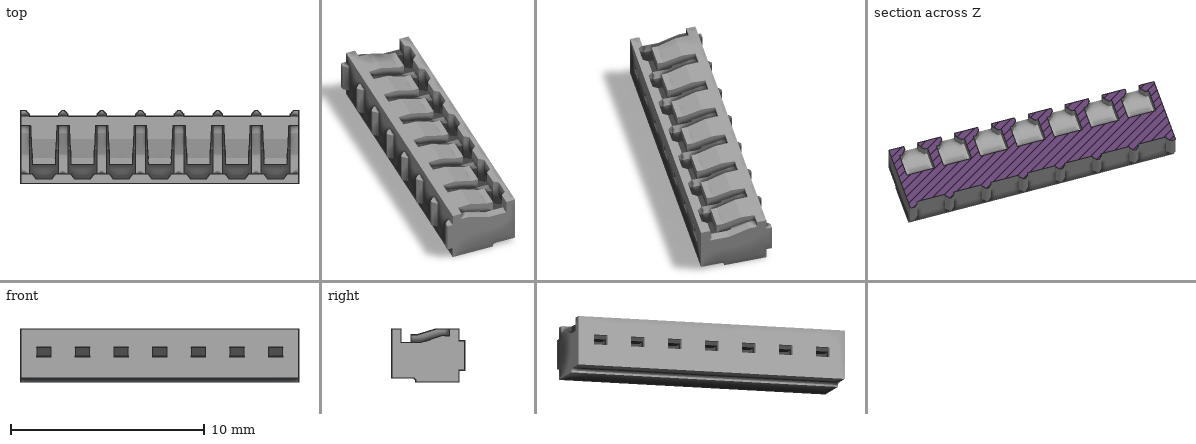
import cadquery as cq

positions = 7
pitch = 2.0
end_margin = 1.2
length = 2 * end_margin + (positions - 1) * pitch
height = 2.75
body_depth = 3.5

relief_height = 0.2
relief_front = 1.15
relief_back = 1.25
relief_step = 0.1

wall_thickness = 0.5
window_width = 0.73
window_bottom = 1.3
window_top = 1.82

divider_width = 0.5
divider_front_z = 2.05
divider_back_z = 2.4
divider_slope_front = 1.5
divider_slope_back = 2.6
slot_back = 3.0

tongue_front = 1.0
tongue_slope_front = 1.32
tongue_slope_back = 2.3
tongue_front_z = 2.45
tongue_underside = 1.78
tongue_front_width = 1.18
tongue_back_width = 1.36

cavity_back = 1.75
cavity_width = pitch - divider_width
recess_front = 0.25
recess_front_width = 0.82
recess_back_width = 1.2

sill_front = 1.3
sill_height = 0.04

ledge_slope_back = 2.78
ledge_back_z = 2.38
ledge_front_z = 2.1

rib_reach = 0.3
rib_straight = 0.1
rib_width = 0.5
rib_tip_width = 0.1
rib_bottom = 0.6
rib_top = 2.15


def side_prism(points, x_start, width):
    """Extrude a (Y, Z) outline along X."""
    return cq.Workplane("YZ").workplane(offset=x_start).polyline(points).close().extrude(width)


def plan_prism(points, bottom, top):
    """Extrude an (X, Y) outline along Z."""
    return cq.Workplane("XY").workplane(offset=bottom).polyline(points).close().extrude(top - bottom)


def make_housing():
    """Full-length housing whose open channel is at divider height."""
    outline = [
        (0, relief_height),
        (relief_front, relief_height),
        (relief_back, relief_step),
        (relief_back, 0),
        (body_depth, 0),
        (body_depth, height),
        (slot_back, height),
        (slot_back, divider_back_z),
        (divider_slope_back, divider_back_z),
        (divider_slope_front, divider_front_z),
        (wall_thickness, divider_front_z),
        (wall_thickness, height),
        (0, height),
    ]
    return side_prism(outline, 0, length)


def make_cavity(x):
    """Open cavity in front of and below the tongue at x."""
    half_width = cavity_width / 2
    half_front = recess_front_width / 2
    half_back = recess_back_width / 2
    outline = [
        (x - half_front, recess_front),
        (x + half_front, recess_front),
        (x + half_back, wall_thickness),
        (x + half_width, wall_thickness),
        (x + half_width, cavity_back),
        (x - half_width, cavity_back),
        (x - half_width, wall_thickness),
        (x - half_back, wall_thickness),
    ]
    return plan_prism(outline, window_bottom, height)


def make_gap(x):
    """Space above the ledges on both sides of the tongue at x."""
    outline = [
        (cavity_back, ledge_front_z),
        (ledge_slope_back, ledge_back_z),
        (slot_back, ledge_back_z),
        (slot_back, height),
        (cavity_back, height),
    ]
    return side_prism(outline, x - cavity_width / 2, cavity_width)


def make_window(x):
    """Rectangular opening through the front wall at x."""
    half_width = window_width / 2
    outline = [
        (x - half_width, 0),
        (x + half_width, 0),
        (x + half_width, wall_thickness),
        (x - half_width, wall_thickness),
    ]
    return plan_prism(outline, window_bottom, window_top)


def make_tongue(x):
    """Sloped tongue at x, narrowing towards its front tip."""
    profile = [
        (tongue_front, tongue_underside),
        (slot_back, tongue_underside),
        (slot_back, height),
        (tongue_slope_back, height),
        (tongue_slope_front, tongue_front_z),
        (tongue_front, tongue_front_z),
    ]
    half_front = tongue_front_width / 2
    half_back = tongue_back_width / 2
    plan = [
        (x - half_front, tongue_front),
        (x + half_front, tongue_front),
        (x + half_back, slot_back),
        (x - half_back, slot_back),
    ]
    blank = side_prism(profile, x - half_back, tongue_back_width)
    return blank.intersect(plan_prism(plan, tongue_underside, height))


def make_sill(x):
    """Low step at the rear of the cavity floor at x."""
    half_width = tongue_front_width / 2
    outline = [
        (x - half_width, sill_front),
        (x + half_width, sill_front),
        (x + half_width, cavity_back),
        (x - half_width, cavity_back),
    ]
    return plan_prism(outline, window_bottom, window_bottom + sill_height)


def make_rib(left, right, bevel_left=True, bevel_right=True):
    """Rib on the back face between two X positions, with bevelled rear corners."""
    rib_end = body_depth + rib_reach
    bevel_start = body_depth + rib_straight
    bevel_width = (rib_width - rib_tip_width) / 2
    outline = [(left, slot_back), (right, slot_back)]
    if bevel_right:
        outline += [(right, bevel_start), (right - bevel_width, rib_end)]
    else:
        outline.append((right, rib_end))
    if bevel_left:
        outline += [(left + bevel_width, rib_end), (left, bevel_start)]
    else:
        outline.append((left, rib_end))
    return plan_prism(outline, rib_bottom, rib_top)


window_places = [end_margin + i * pitch for i in range(positions)]
divider_places = [end_margin + (i + 0.5) * pitch for i in range(positions - 1)]
end_rib_width = end_margin - cavity_width / 2

result = make_housing()
for place in window_places:
    result = result.cut(make_cavity(place)).cut(make_gap(place)).cut(make_window(place))
    result = result.union(make_tongue(place)).union(make_sill(place))
for place in divider_places:
    result = result.union(make_rib(place - rib_width / 2, place + rib_width / 2))

result = result.union(make_rib(0, end_rib_width, bevel_left=False))
result = result.union(make_rib(length - end_rib_width, length, bevel_right=False))